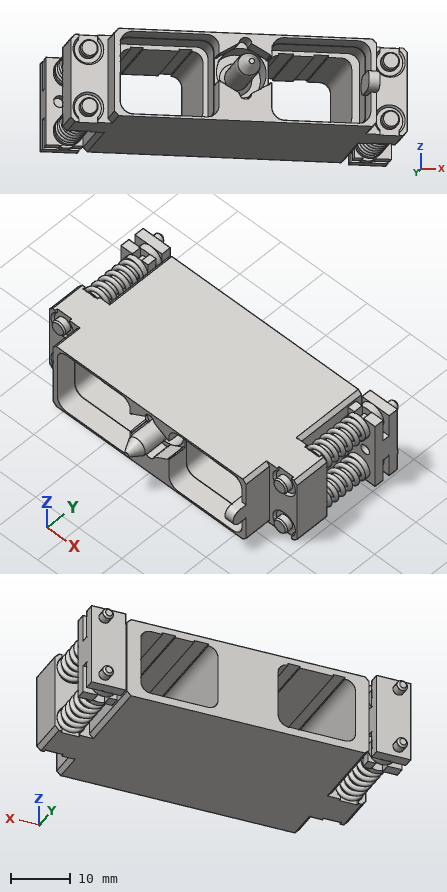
import cadquery as cq
import math


OVERALL_LENGTH = 36.83
BODY_HALF_X = 22.4
BODY_DEPTH = 28.05
HALF_HEIGHT = 7.53
EDGE_CHAMFER = 0.75
WING_HALF_X = 28.75
WING_FRONT = 5.74
WING_REAR = 13.0

POCKET_INNER_X = 4.5
POCKET_OUTER_X = 21.4
POCKET_HALF_Z = 7.1
POCKET_RADIUS = 2.2
LEAD_IN_DEPTH = 1.0
LEAD_IN_TAPER = 4.0
LEAD_IN_INSET = LEAD_IN_DEPTH * math.tan(math.radians(LEAD_IN_TAPER))
MOUTH_DEPTH = 2.1
MOUTH_TAPER = 1.5
MOUTH_INSET = LEAD_IN_INSET + (MOUTH_DEPTH - LEAD_IN_DEPTH) * math.tan(math.radians(MOUTH_TAPER))
SEAT_DEPTH = 4.1
SEAT_INSET = MOUTH_INSET + 0.1
LEDGE_DEPTH = 9.0
WINDOW_INNER_X = 5.57
WINDOW_OUTER_X = 19.86
WINDOW_HALF_Z = 6.1
WINDOW_RADIUS = 1.9
WINDOW_NOTCH_DEPTH = 0.32
WINDOW_NOTCHES = [(-16.85, 2.1), (-8.5, 2.2), (8.65, 2.6), (14.65, 2.4)]

PIN_Z = 1.55
PIN_RADIUS = 2.05
PIN_SHOULDER_RADIUS = 1.9
PIN_NOSE_RADIUS = 0.85
PIN_TIP_RADIUS = 0.45
PIN_STRAIGHT = 2.15
PIN_SHOULDER = 3.05
PIN_NOSE = 5.0
PIN_LENGTH = 5.6
PIN_BASE_RADIUS = 2.78
PIN_BASE_LENGTH = 1.0
HEX_APOTHEM = 4.25
HEX_SLOPE = math.radians(30)
HEX_DEPTH = 3.8
BORE_RADIUS = 4.25
BORE_DEPTH = 9.0
KEY_NOTCH_RADIUS = 1.05

TAB_INNER_X = 20.5
TAB_HALF_HEIGHT = 1.65
TAB_REACH = 3.15
TAB_ROOT = 4.0

SCREW_X = 25.75
SCREW_Z = 5.0
SCREW_RADIUS = 1.5
SCREW_TIP_RADIUS = 1.3
SCREW_TIP_LENGTH = 0.35
SCREW_PROTRUSION = 1.1
NECK_RADIUS = 1.08
FLANGE_RADIUS = 2.53
COLLAR_THICKNESS = 1.07
RECESS_RADIUS = 2.62
RECESS_FLOOR_RADIUS = 2.3
RECESS_DEPTH = 0.5
RECESS_SLOT_WIDTH = 3.3
SPRING_RADIUS = 2.07
SPRING_WIRE_RADIUS = 0.45
SPRING_PITCH = 1.667
SPRING_END_EMBED = 0.45
SPRING_START_ANGLE = 180

PLATE_INNER_X = 23.2
PLATE_OUTER_X = 29.51
PLATE_FRONT = 23.9
PLATE_REAR = 29.3
SLOT_FRONT = 25.85
SLOT_REAR = 27.3
SLOT_DEPTH_Z = 5.05
DOWEL_X = 27.2
DOWEL_Z = 5.63
DOWEL_RADIUS = 0.97
DOWEL_CHAMFER = 0.35
DOWEL_END = OVERALL_LENGTH - PIN_LENGTH
PLATE_HOLE_RADIUS = 1.0


def block(x0, x1, y0, y1, z0, z1):
    """Box given by its limits along each axis."""
    return cq.Workplane("XY").box(x1 - x0, y1 - y0, z1 - z0, centered=False).translate((x0, y0, z0))


def rod(x, z, radius, y0, y1):
    """Cylinder along Y."""
    return cq.Workplane("XZ", origin=(x, y0, z)).circle(radius).extrude(y0 - y1)


def cone(x, z, radius0, radius1, y0, y1):
    """Truncated cone along Y, from radius0 at y0 to radius1 at y1."""
    profile = [(0, y0), (radius0, y0), (radius1, y1), (0, y1)]
    turned = cq.Workplane("XY").polyline(profile).close().revolve(360, (0, 0, 0), (0, 1, 0))
    return turned.translate((x, 0, z))


def rounded_bar(centre_x, half_x, half_z, radius, y0, y1, taper=0):
    """Rounded rectangle extruded along +Y, shrinking by the taper angle."""
    sketch = cq.Sketch().rect(2 * half_x, 2 * half_z).vertices().fillet(radius)
    plane = cq.Plane(origin=(centre_x, y0, 0), xDir=(-1, 0, 0), normal=(0, 1, 0))
    return cq.Workplane(plane).placeSketch(sketch).extrude(y1 - y0, taper=taper)


def make_shell():
    """Main block with a wing on each side, all long edges chamfered."""
    body = block(-BODY_HALF_X, BODY_HALF_X, 0, BODY_DEPTH, -HALF_HEIGHT, HALF_HEIGHT)
    wings = block(-WING_HALF_X, WING_HALF_X, WING_FRONT, WING_REAR, -HALF_HEIGHT, HALF_HEIGHT)
    return body.edges("|Y").chamfer(EDGE_CHAMFER).union(wings.edges("|Y").chamfer(EDGE_CHAMFER))


def make_pocket(side):
    """Stepped pocket: tapered lead-in and mouth, two shallow steps, then the window to the rear."""
    centre = side * (POCKET_INNER_X + POCKET_OUTER_X) / 2
    half_x = (POCKET_OUTER_X - POCKET_INNER_X) / 2

    def stage(inset, y0, y1, taper=0):
        return rounded_bar(centre, half_x - inset, POCKET_HALF_Z - inset,
                           POCKET_RADIUS - inset, y0, y1, taper)

    lead_in = stage(0, 0, LEAD_IN_DEPTH, LEAD_IN_TAPER)
    mouth = stage(LEAD_IN_INSET, LEAD_IN_DEPTH, MOUTH_DEPTH, MOUTH_TAPER)
    front = stage(MOUTH_INSET, MOUTH_DEPTH, SEAT_DEPTH)
    seat = stage(SEAT_INSET, SEAT_DEPTH, LEDGE_DEPTH)
    window = rounded_bar(side * (WINDOW_INNER_X + WINDOW_OUTER_X) / 2,
                         (WINDOW_OUTER_X - WINDOW_INNER_X) / 2,
                         WINDOW_HALF_Z, WINDOW_RADIUS, LEDGE_DEPTH, BODY_DEPTH)
    return lead_in.union(mouth).union(front).union(seat).union(window)


def make_window_notch(centre, width):
    """Shallow notch above a window, running from the ledge to the rear."""
    return block(centre - width / 2, centre + width / 2, LEDGE_DEPTH, BODY_DEPTH,
                 0, WINDOW_HALF_Z + WINDOW_NOTCH_DEPTH)


def make_pin_recess():
    """Hexagon with corners up and down, round key notches at both corners, and a deeper bore."""
    corner_radius = HEX_APOTHEM / math.cos(HEX_SLOPE)
    front = cq.Workplane("XZ", origin=(0, 0, PIN_Z))
    hexagon = front.polygon(6, 2 * corner_radius).extrude(-HEX_DEPTH)
    hexagon = hexagon.rotate((0, 0, PIN_Z), (0, 1, PIN_Z), math.degrees(HEX_SLOPE))
    side_z = corner_radius - POCKET_INNER_X * math.tan(HEX_SLOPE)
    reach = POCKET_INNER_X + SEAT_INSET
    breakout = block(-reach, reach, 0, HEX_DEPTH, PIN_Z - side_z, PIN_Z + side_z)
    recess = hexagon.union(breakout).union(rod(0, PIN_Z, BORE_RADIUS, 0, BORE_DEPTH))
    for side in (1, -1):
        recess = recess.union(rod(0, PIN_Z + side * HEX_APOTHEM, KEY_NOTCH_RADIUS, 0, HEX_DEPTH))
    return recess


def make_guide_pin():
    """Turned pin standing on a conical base at the bottom of the bore."""
    base_front = BORE_DEPTH - PIN_BASE_LENGTH
    profile = [
        (0, BORE_DEPTH + PIN_BASE_LENGTH),
        (PIN_BASE_RADIUS, BORE_DEPTH + PIN_BASE_LENGTH),
        (PIN_BASE_RADIUS, BORE_DEPTH),
        (PIN_RADIUS, base_front),
        (PIN_RADIUS, -PIN_STRAIGHT),
        (PIN_SHOULDER_RADIUS, -PIN_SHOULDER),
        (PIN_NOSE_RADIUS, -PIN_NOSE),
        (PIN_TIP_RADIUS, -PIN_LENGTH),
        (0, -PIN_LENGTH),
    ]
    pin = cq.Workplane("XY").polyline(profile).close().revolve(360, (0, 0, 0), (0, 1, 0))
    return pin.translate((0, 0, PIN_Z))


def make_tab():
    """Flat strip along Y with fully rounded ends."""
    side = cq.Workplane("YZ", origin=(TAB_INNER_X, (TAB_ROOT - TAB_REACH) / 2, 0))
    return side.slot2D(TAB_REACH + TAB_ROOT, 2 * TAB_HALF_HEIGHT).extrude(BODY_HALF_X - TAB_INNER_X)


def make_end_plate(side):
    """H-shaped plate: slots from top and bottom take the screw flanges, U-cuts take their necks."""
    inner, outer = sorted((side * PLATE_INNER_X, side * PLATE_OUTER_X))
    plate = block(inner, outer, PLATE_FRONT, PLATE_REAR, -HALF_HEIGHT, HALF_HEIGHT)
    web_half = HALF_HEIGHT - SLOT_DEPTH_Z
    neck_x = side * SCREW_X
    for z_side in (1, -1):
        z0, z1 = sorted((z_side * web_half, z_side * HALF_HEIGHT))
        plate = plate.cut(block(inner, outer, SLOT_FRONT, SLOT_REAR, z0, z1))
        z0, z1 = sorted((z_side * SCREW_Z, z_side * HALF_HEIGHT))
        plate = plate.cut(block(neck_x - NECK_RADIUS, neck_x + NECK_RADIUS, PLATE_FRONT, SLOT_FRONT, z0, z1))
        dowel = rod(side * DOWEL_X, z_side * DOWEL_Z, DOWEL_RADIUS, PLATE_REAR, DOWEL_END)
        plate = plate.union(dowel.faces(">Y").chamfer(DOWEL_CHAMFER))
    return plate.cut(rod(side * DOWEL_X, 0, PLATE_HOLE_RADIUS, PLATE_FRONT, SLOT_FRONT))


def make_screw_recesses(x, z):
    """Countersinks in both wing faces, each with a slot out to the nearest outer face."""
    front_floor = WING_FRONT + RECESS_DEPTH
    rear_floor = WING_REAR - RECESS_DEPTH
    recess = cone(x, z, RECESS_RADIUS, RECESS_FLOOR_RADIUS, WING_FRONT, front_floor)
    recess = recess.union(cone(x, z, RECESS_FLOOR_RADIUS, RECESS_RADIUS, rear_floor, WING_REAR))
    z0, z1 = sorted((z, math.copysign(HALF_HEIGHT, z)))
    half_slot = RECESS_SLOT_WIDTH / 2
    for y0, y1 in ((WING_FRONT, front_floor), (rear_floor, WING_REAR)):
        recess = recess.union(block(x - half_slot, x + half_slot, y0, y1, z0, z1))
    return recess


def make_screw(x, z):
    """Shank through the wing, collar ahead of the end plate, neck and flange inside the plate."""
    head_front = WING_FRONT - SCREW_PROTRUSION
    shank_front = head_front + SCREW_TIP_LENGTH
    collar_front = PLATE_FRONT - COLLAR_THICKNESS
    screw = cone(x, z, SCREW_TIP_RADIUS, SCREW_RADIUS, head_front, shank_front)
    screw = screw.union(rod(x, z, SCREW_RADIUS, shank_front, collar_front))
    screw = screw.union(rod(x, z, FLANGE_RADIUS, collar_front, PLATE_FRONT))
    screw = screw.union(rod(x, z, NECK_RADIUS, PLATE_FRONT, SLOT_FRONT))
    return screw.union(rod(x, z, FLANGE_RADIUS, SLOT_FRONT, SLOT_REAR))


def make_spring(x, z):
    """Right-handed coil whose ends are sunk into the wing and the screw collar."""
    start = WING_REAR - RECESS_DEPTH - SPRING_END_EMBED
    end = PLATE_FRONT - COLLAR_THICKNESS + SPRING_END_EMBED
    path = cq.Wire.makeHelix(SPRING_PITCH, end - start, SPRING_RADIUS)
    wire = cq.Workplane("XZ", origin=(SPRING_RADIUS, 0, 0)).circle(SPRING_WIRE_RADIUS)
    coil = wire.sweep(cq.Workplane(obj=path), isFrenet=True)
    coil = coil.rotate((0, 0, 0), (0, 0, 1), SPRING_START_ANGLE)
    return coil.rotate((0, 0, 0), (1, 0, 0), -90).translate((x, start, z))


result = make_shell()
for side in (1, -1):
    result = result.cut(make_pocket(side))
for centre, width in WINDOW_NOTCHES:
    result = result.cut(make_window_notch(centre, width))
result = result.cut(make_pin_recess()).union(make_guide_pin()).union(make_tab())

for side in (1, -1):
    result = result.union(make_end_plate(side))
    for z_side in (1, -1):
        screw_x = side * SCREW_X
        screw_z = z_side * SCREW_Z
        result = result.cut(make_screw_recesses(screw_x, screw_z))
        result = result.union(make_screw(screw_x, screw_z))
        result = result.union(make_spring(screw_x, screw_z))